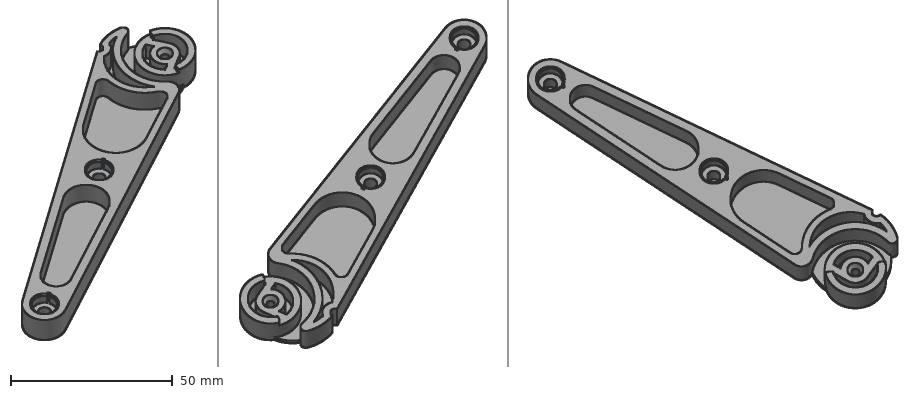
import cadquery as cq
import math

thickness = 9.0
foot_radius = 7.0
head_radius = 15.0
head_y = 110.0

hub_x = 5.0
hub_y = 115.0
hub_radius = 9.5
hub_clearance_radius = 13.5
web_thickness = 1.5
tip_fillet = 1.7
corner_fillet = 3.5

spring_outer_radius = 16.0
recess_radius = 12.6
notch_radius = 1.5
notch_guard_radius = 4.0

ring_height = 1.5
ring_inner_radius = 7.0
ring_end_bulge = 0.4
island_radius = 4.6
groove_reach = 2.0
ring_facing = 45

pilot_diameter = 2.5
countersink_diameter = 4.9
countersink_angle = 70

screw_hole_spacing = 60.0
screw_hole_diameter = 4.0
counterbore_radius = 4.0
counterbore_depth = 3.5
counterbore_chamfer = 0.5
chamfer_angle = 45
key_width = 0.8
key_reach = 5.0

pocket_floor = 1.5
upper_wall = 2.5
lower_wall = 3.0
screw_margin = 8.0
lower_pocket_end = 53.0
pocket_fillet = 2.2

head = (0, head_y)
hub = (hub_x, hub_y)
notch = (-head_radius, head_y)
side_slope = (head_radius - foot_radius) / head_y
hub_step = thickness - ring_height


def disc(center, radius, bottom=0.0, top=thickness):
    return cq.Workplane("XY", origin=(*center, bottom)).circle(radius).extrude(top - bottom)


def tapered_slab(low_y, low_radius, high_y, high_radius, bottom=0.0):
    """Two circles on the Y axis joined by their common tangents."""
    sine = (high_radius - low_radius) / (high_y - low_y)
    cosine = math.sqrt(1 - sine**2)
    low_x, low_tangent_y = low_radius * cosine, low_y - low_radius * sine
    high_x, high_tangent_y = high_radius * cosine, high_y - high_radius * sine
    return (
        cq.Workplane("XY", origin=(0, 0, bottom))
        .moveTo(low_x, low_tangent_y)
        .lineTo(high_x, high_tangent_y)
        .threePointArc((0, high_y + high_radius), (-high_x, high_tangent_y))
        .lineTo(-low_x, low_tangent_y)
        .threePointArc((0, low_y - low_radius), (low_x, low_tangent_y))
        .close()
        .extrude(thickness - bottom)
    )


def side_radius(y, wall):
    """Radius of the circle at y that leaves the given wall to the arm sides."""
    return foot_radius - wall + side_slope * y


def circle_resting_on(y, wall):
    """Center and radius of the wall-tangent circle whose lowest point is at y."""
    center_y = (y + foot_radius - wall) / (1 - side_slope)
    return center_y, side_radius(center_y, wall)


def circle_reaching_to(y, wall):
    """Center and radius of the wall-tangent circle whose highest point is at y."""
    center_y = (y - foot_radius + wall) / (1 + side_slope)
    return center_y, side_radius(center_y, wall)


def fillet_upright_edge(solid, near_point, radius):
    """Fillet the single vertical edge nearest to the given XY point."""
    nearest = cq.selectors.NearestToPointSelector((*near_point, thickness / 2))
    return solid.edges("|Z").edges(nearest).fillet(radius)


def make_arm():
    arm = tapered_slab(0, foot_radius, head_y, head_radius)
    arm = arm.cut(disc(hub, hub_clearance_radius))
    arm = fillet_upright_edge(arm, (hub_x - hub_clearance_radius, head_y + head_radius), tip_fillet)
    return fillet_upright_edge(arm, (head_radius, head_y), corner_fillet)


def make_slot():
    slot = disc(head, recess_radius, web_thickness)
    slot = slot.cut(disc(hub, spring_outer_radius))
    return slot.cut(disc(notch, notch_guard_radius))


def make_upper_pocket():
    low_y, low_radius = circle_resting_on(screw_hole_spacing + screw_margin, upper_wall)
    pocket = tapered_slab(low_y, low_radius, head_y, head_radius - upper_wall, pocket_floor)
    pocket = pocket.cut(disc(head, head_radius))
    for corner_x in (-head_radius, head_radius):
        pocket = fillet_upright_edge(pocket, (corner_x, head_y), pocket_fillet)
    return pocket


def make_lower_pocket():
    low_y, low_radius = circle_resting_on(screw_margin, lower_wall)
    high_y, high_radius = circle_reaching_to(lower_pocket_end, lower_wall)
    return tapered_slab(low_y, low_radius, high_y, high_radius, pocket_floor)


def make_screw_hole(y):
    floor = thickness - counterbore_depth
    center = (0, y)
    hole = disc(center, screw_hole_diameter / 2)
    hole = hole.union(disc(center, counterbore_radius, floor))
    mouth = (
        cq.Workplane("XY", origin=(0, y, thickness))
        .circle(counterbore_radius + counterbore_chamfer)
        .extrude(-counterbore_chamfer, taper=chamfer_angle)
    )
    key = (
        cq.Workplane("XY", origin=(0, y + key_reach / 2, floor))
        .rect(key_width, key_reach)
        .extrude(counterbore_depth)
    )
    return hole.union(mouth).union(key)


def make_half_ring():
    """Half ring about the local origin on the +X side, with bulged ends."""
    middle_radius = (hub_radius + ring_inner_radius) / 2
    return (
        cq.Workplane("XY")
        .moveTo(0, -hub_radius)
        .threePointArc((hub_radius, 0), (0, hub_radius))
        .threePointArc((-ring_end_bulge, middle_radius), (0, ring_inner_radius))
        .threePointArc((ring_inner_radius, 0), (0, -ring_inner_radius))
        .threePointArc((-ring_end_bulge, -middle_radius), (0, -hub_radius))
        .close()
        .extrude(ring_height)
        .rotate((0, 0, 0), (0, 0, 1), ring_facing)
        .translate((*hub, hub_step))
    )


def hub_corner_block(reach):
    """Square block over the -X-Y side of the hub, reaching past its center toward +X and +Y."""
    size = hub_radius + reach
    middle = (reach - hub_radius) / 2
    return (
        cq.Workplane("XY", origin=(hub_x + middle, hub_y + middle, web_thickness))
        .rect(size, size)
        .extrude(hub_step - web_thickness)
    )


def make_hub_grooves():
    """Crescent under the half ring, and a shorter arc groove on the opposite side."""
    bore = disc(hub, ring_inner_radius, web_thickness, hub_step)
    island = disc(hub, island_radius, web_thickness, hub_step)
    rounded_corner = hub_corner_block(island_radius).edges("|Z").edges(">XY").fillet(island_radius)
    crescent = bore.cut(rounded_corner)
    arc_groove = bore.cut(island).intersect(hub_corner_block(groove_reach))
    return crescent.union(arc_groove)


def make_hub():
    web = disc(head, recess_radius, 0, web_thickness)
    boss = disc(hub, hub_radius, 0, hub_step).cut(make_hub_grooves())
    boss = (
        boss.faces(">Z")
        .workplane(origin=(*hub, hub_step))
        .cskHole(pilot_diameter, countersink_diameter, countersink_angle, hub_step - web_thickness)
    )
    return web.union(boss).union(make_half_ring())


result = make_arm().cut(make_slot()).cut(disc(notch, notch_radius))
result = result.cut(make_upper_pocket()).cut(make_lower_pocket())
for hole_y in (0, screw_hole_spacing):
    result = result.cut(make_screw_hole(hole_y))
result = result.union(make_hub())